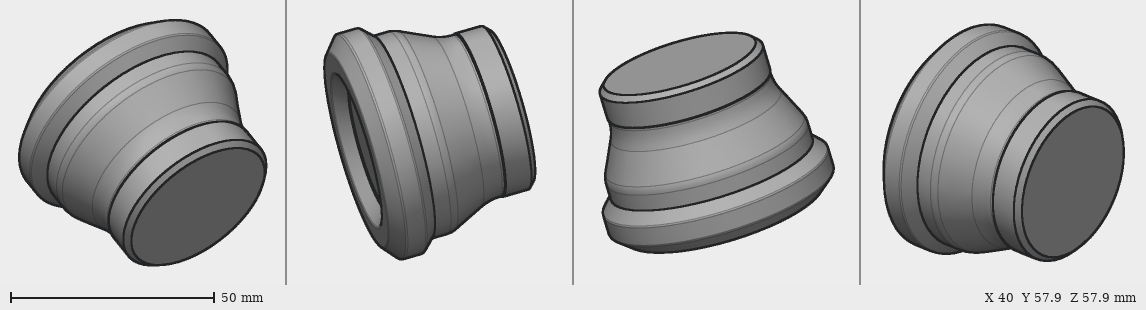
import cadquery as cq
import math

total_length = 40.0

ring_radius = 28.95
ring_front_outer_radius = 24.95
ring_front_inner_radius = 19.8
ring_opening_radius = 16.4
ring_rim_start = 3.5
ring_rim_end = 8.7
ring_back = 11.8
ring_edge_fillet = 0.7
recess_cone_depth = ring_front_inner_radius - ring_opening_radius
recess_lip = 0.3
recess_depth = recess_cone_depth + recess_lip

barrel_radius = 52.0 / 2
neck_radius = 41.6 / 2
collar_radius = 42.0 / 2
taper_start = 17.0
taper_end = 28.3
barrel_blend_radius = 4.85
neck_blend_radius = 12.15
collar_step_start = 31.7
collar_start = collar_step_start + (collar_radius - neck_radius)
collar_chamfer = 1.45

taper_angle = math.atan2(barrel_radius - neck_radius, taper_end - taper_start)
barrel_tangent = barrel_blend_radius * math.tan(taper_angle / 2)
neck_tangent = neck_blend_radius * math.tan(taper_angle / 2)


def revolve_about_x(profile):
    """Turn a closed (x, radius) profile once around the X axis."""
    return profile.close().revolve(360, (0, 0, 0), (1, 0, 0))


def circle_edges_at(x, radius):
    """Select the circular edge at position x with the given radius."""
    margin = 0.005
    return cq.selectors.BoxSelector(
        (x - margin, -radius - margin, -radius - margin),
        (x + margin, radius + margin, radius + margin),
        boundingbox=True,
    )


def make_ring():
    """Ring with conical flanks, a conical front recess and a seat for the body."""
    ring = revolve_about_x(
        cq.Workplane("XY")
        .moveTo(recess_depth, ring_opening_radius)
        .lineTo(recess_cone_depth, ring_opening_radius)
        .lineTo(0, ring_front_inner_radius)
        .lineTo(0, ring_front_outer_radius)
        .lineTo(ring_rim_start, ring_radius)
        .lineTo(ring_rim_end, ring_radius)
        .lineTo(ring_back, barrel_radius)
        .lineTo(recess_depth, barrel_radius)
    )
    ring = ring.faces("<X").edges().fillet(ring_edge_fillet)
    for rim_x in (ring_rim_start, ring_rim_end):
        ring = ring.edges(circle_edges_at(rim_x, ring_radius)).fillet(ring_edge_fillet)
    return ring


def make_body():
    """Solid body whose front face is the floor of the ring's recess."""
    drop = math.sin(taper_angle)
    run = math.cos(taper_angle)
    barrel_center = (taper_start - barrel_tangent, barrel_radius - barrel_blend_radius)
    neck_center = (taper_end + neck_tangent, neck_radius + neck_blend_radius)
    half_drop = math.sin(taper_angle / 2)
    half_run = math.cos(taper_angle / 2)
    return revolve_about_x(
        cq.Workplane("XY")
        .moveTo(recess_depth, 0)
        .lineTo(recess_depth, barrel_radius)
        .lineTo(taper_start - barrel_tangent, barrel_radius)
        .threePointArc(
            (
                barrel_center[0] + barrel_blend_radius * half_drop,
                barrel_center[1] + barrel_blend_radius * half_run,
            ),
            (taper_start + barrel_tangent * run, barrel_radius - barrel_tangent * drop),
        )
        .lineTo(taper_end - neck_tangent * run, neck_radius + neck_tangent * drop)
        .threePointArc(
            (
                neck_center[0] - neck_blend_radius * half_drop,
                neck_center[1] - neck_blend_radius * half_run,
            ),
            (taper_end + neck_tangent, neck_radius),
        )
        .lineTo(collar_step_start, neck_radius)
        .lineTo(collar_start, collar_radius)
        .lineTo(total_length - collar_chamfer, collar_radius)
        .lineTo(total_length, collar_radius - collar_chamfer)
        .lineTo(total_length, 0)
    )


ring = make_ring()
body = make_body()
result = cq.Compound.makeCompound([ring.val(), body.val()])